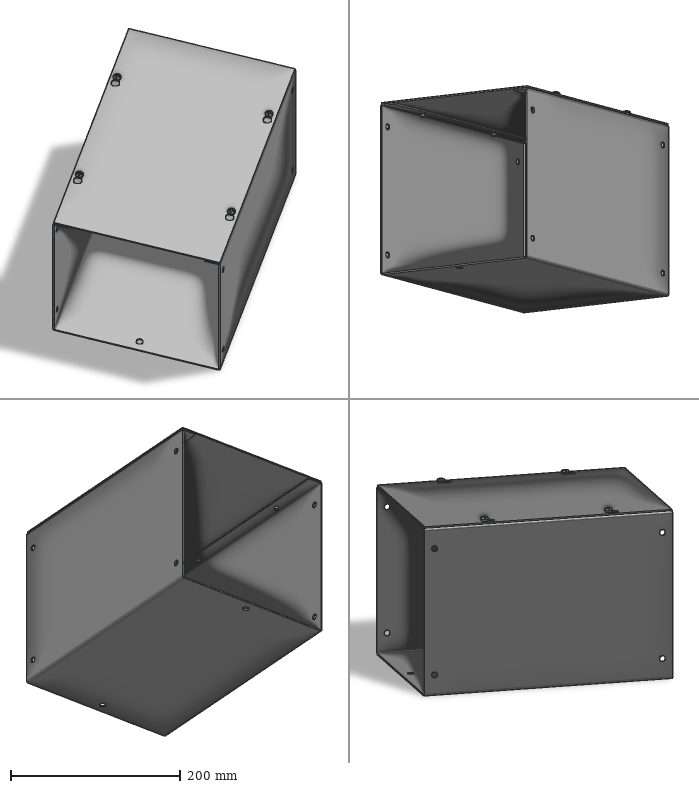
import cadquery as cq

LENGTH = 304.8
WIDTH = 207.0
SHEET = 1.9
OUTER_BEND = 2.7
INNER_BEND = OUTER_BEND - SHEET
FLANGE_REACH = 19.2

COVER_INSET = 0.75
COVER_WIDTH = WIDTH - 2 * COVER_INSET
COVER_LENGTH = LENGTH - 2 * COVER_INSET

SCREW_X = 94.0
SCREW_Y = 76.2
SHANK_DIAMETER = 5.0
SHANK_PROTRUSION = 3.7
SHANK_CHAMFER = 1.0
HEAD_HEIGHT = 4.5
HEAD_NECK_DIAMETER = 8.2
HEAD_NECK_HEIGHT = 2.5
HEAD_DIAMETER = 9.8
HEAD_TOP_DIAMETER = 4.3
DOME_BULGE_DIAMETER = 8.2
DOME_BULGE_HEIGHT = 1.37
SOCKET_DIAMETER = 3.7
SOCKET_DEPTH = 1.8
CROSS_SLOT_WIDTH = 0.5

KEYHOLE_DIAMETER = 10.0
KEYHOLE_OFFSET = 7.0
KEYHOLE_SLOT_WIDTH = 5.5

SIDE_MOUNT_DIAMETER = 7.0
FLOOR_MOUNT_DIAMETER = 8.0
MOUNT_END_DISTANCE = 12.5
MOUNT_SPACING_Z = 154.0

TOTAL_HEIGHT = 211.5
COVER_TOP = TOTAL_HEIGHT - HEAD_HEIGHT
TROUGH_HEIGHT = COVER_TOP - SHEET
FLANGE_BOTTOM = TROUGH_HEIGHT - SHEET

MOUNT_Y = LENGTH / 2 - MOUNT_END_DISTANCE
SCREW_POINTS = [(x, y) for x in (-SCREW_X, SCREW_X) for y in (-SCREW_Y, SCREW_Y)]


def bent_tube():
    """Closed rectangular tube along Y with rounded bends."""
    outer = (
        cq.Workplane("XY")
        .box(WIDTH, LENGTH, TROUGH_HEIGHT, centered=(True, True, False))
        .edges("|Y")
        .fillet(OUTER_BEND)
    )
    inner = (
        cq.Workplane("XY")
        .workplane(offset=SHEET)
        .box(WIDTH - 2 * SHEET, LENGTH, TROUGH_HEIGHT - 2 * SHEET, centered=(True, True, False))
        .edges("|Y")
        .fillet(INNER_BEND)
    )
    return outer.cut(inner)


def top_opening():
    """Block that parts the top of the tube into two flanges."""
    return (
        cq.Workplane("XY")
        .workplane(offset=FLANGE_BOTTOM)
        .box(WIDTH - 2 * FLANGE_REACH, LENGTH, SHEET, centered=(True, True, False))
    )


def side_mount_holes():
    """Bores along X through both side walls."""
    return (
        cq.Workplane("YZ")
        .workplane(offset=-WIDTH / 2)
        .center(0, TROUGH_HEIGHT / 2)
        .rect(2 * MOUNT_Y, MOUNT_SPACING_Z, forConstruction=True)
        .vertices()
        .circle(SIDE_MOUNT_DIAMETER / 2)
        .extrude(WIDTH)
    )


def floor_mount_holes():
    """Bores through the floor, one near each open end."""
    return (
        cq.Workplane("XY")
        .pushPoints([(0, -MOUNT_Y), (0, MOUNT_Y)])
        .circle(FLOOR_MOUNT_DIAMETER / 2)
        .extrude(SHEET)
    )


def screw_holes():
    """Bores through the flanges that fit the screw shanks."""
    return (
        cq.Workplane("XY")
        .workplane(offset=FLANGE_BOTTOM)
        .pushPoints(SCREW_POINTS)
        .circle(SHANK_DIAMETER / 2)
        .extrude(SHEET)
    )


def make_trough():
    return (
        bent_tube()
        .cut(top_opening())
        .cut(side_mount_holes())
        .cut(floor_mount_holes())
        .cut(screw_holes())
    )


def keyhole(x, y):
    """Keyhole whose narrow end is centred on the screw at (x, y) and whose wide end lies towards -Y."""
    base = cq.Workplane("XY").workplane(offset=TROUGH_HEIGHT)
    wide_end = base.center(x, y - KEYHOLE_OFFSET).circle(KEYHOLE_DIAMETER / 2).extrude(SHEET)
    narrow_end = base.center(x, y).circle(KEYHOLE_SLOT_WIDTH / 2).extrude(SHEET)
    slot = (
        base.center(x, y - KEYHOLE_OFFSET / 2)
        .rect(KEYHOLE_SLOT_WIDTH, KEYHOLE_OFFSET)
        .extrude(SHEET)
    )
    return wide_end.union(narrow_end).union(slot)


def make_cover():
    cover = (
        cq.Workplane("XY")
        .workplane(offset=TROUGH_HEIGHT)
        .box(COVER_WIDTH, COVER_LENGTH, SHEET, centered=(True, True, False))
    )
    for x, y in SCREW_POINTS:
        cover = cover.cut(keyhole(x, y))
    return cover


def screw_blank():
    """Screw of revolution about Z: chamfered shank, cylindrical neck and domed head with a small flat top."""
    tip = FLANGE_BOTTOM - SHANK_PROTRUSION
    shank_radius = SHANK_DIAMETER / 2
    neck_radius = HEAD_NECK_DIAMETER / 2
    rim_level = COVER_TOP + HEAD_NECK_HEIGHT
    dome_bulge = (DOME_BULGE_DIAMETER / 2, rim_level + DOME_BULGE_HEIGHT)
    dome_top = (HEAD_TOP_DIAMETER / 2, TOTAL_HEIGHT)
    return (
        cq.Workplane("XZ")
        .moveTo(0, tip)
        .lineTo(shank_radius - SHANK_CHAMFER, tip)
        .lineTo(shank_radius, tip + SHANK_CHAMFER)
        .lineTo(shank_radius, COVER_TOP)
        .lineTo(neck_radius, COVER_TOP)
        .lineTo(neck_radius, rim_level)
        .lineTo(HEAD_DIAMETER / 2, rim_level)
        .threePointArc(dome_bulge, dome_top)
        .lineTo(0, TOTAL_HEIGHT)
        .close()
        .revolve(360, (0, 0, 0), (0, 1, 0))
    )


def drive_recess():
    """Round socket crossed by two narrow slots that run out through the dome."""
    floor = cq.Workplane("XY").workplane(offset=TOTAL_HEIGHT - SOCKET_DEPTH)
    socket = floor.circle(SOCKET_DIAMETER / 2).extrude(SOCKET_DEPTH)
    slot_x = floor.rect(HEAD_DIAMETER, CROSS_SLOT_WIDTH).extrude(SOCKET_DEPTH)
    slot_y = floor.rect(CROSS_SLOT_WIDTH, HEAD_DIAMETER).extrude(SOCKET_DEPTH)
    return socket.union(slot_x).union(slot_y)


def make_screw(x, y):
    """Screw whose head rests on the cover at (x, y)."""
    return screw_blank().cut(drive_recess()).translate((x, y, 0))


trough = make_trough()
cover = make_cover()
screws = [make_screw(x, y) for x, y in SCREW_POINTS]

result = cq.Compound.makeCompound([trough.val(), cover.val(), *[screw.val() for screw in screws]])